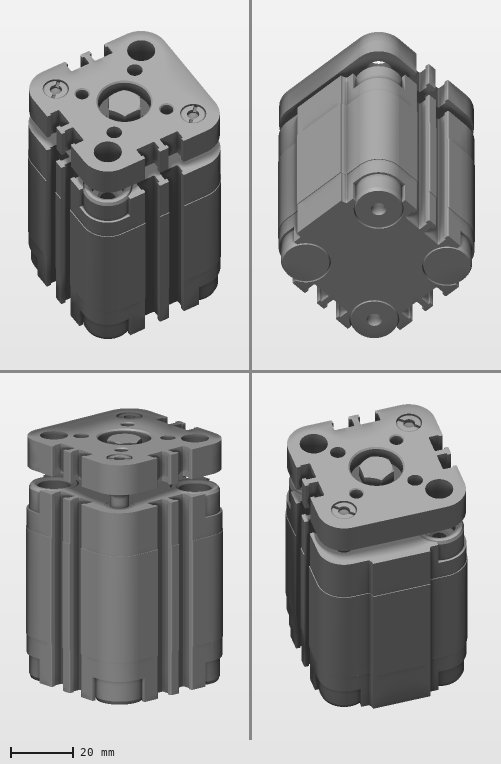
import cadquery as cq
import math

housing_height = 64.5
barrel_bottom = 14.5
barrel_top = 50.0
stroke_gap = 6.0
plate_thickness = 10.0
plate_bottom = housing_height + stroke_gap
plate_top = plate_bottom + plate_thickness

barrel_half = 25.0
cap_half = 24.75
plate_half = 24.6
corner_offset = 16.0
plate_corner_radius = 8.75

slot_floor = 19.9
lip_inner = 23.2
slot_inner_edge = 1.0
slot_outer_edge = 7.75
neck_inner_edge = 1.75
neck_outer_edge = 7.15
slot_rounding = 0.4

rail_height = 2.0
rail_top_half = 9.65
rail_flank_half = 10.1
rail_root_half = 10.4
rail_flank_top = 1.45
rail_flank_bottom = 0.3
rail_embed = 1.0

boss_radius = 8.0
boss_pocket_height = 8.0
boss_pocket_edge = 12.9
cut_margin = 1.0
bottom_chamfer_width = 0.5
bottom_chamfer_height = 1.2
top_chamfer_width = 0.6
top_chamfer_height = 1.0

screw_hole_diameter = 4.92
screw_cone_diameter = 6.6
screw_recess_diameter = 10.5
screw_recess_mouth = 12.6
screw_mouth_depth = 0.7
screw_recess_depth = 5.0

guide_diameter = 6.0
guide_ring_diameter = 9.6
guide_ring_depth = 0.1
piston_rod_diameter = 12.0
rod_end = barrel_top
flat_across = 10.0
flat_start = 1.1
flat_bottom = housing_height + flat_start
collar_diameter = 8.0
collar_height = 0.5

access_hole_diameter = 9.0
thread_offset = 9.85
pin_hole_diameter = 5.0
thread_diameter = 4.13
thread_chamfer = 0.4
center_hole_diameter = 17.0
center_chamfer = 0.5
center_hole_depth = 5.7
washer_height = 0.5
hex_sides = 6
hex_across = 10.0
hex_recess = 0.5
hex_top = plate_top - hex_recess
hex_top_diameter = 10.1
hex_chamfer_angle = 30.0
guide_end_diameter = 8.4
guide_end_recess = 0.3
guide_end_chamfer = 0.5
driver_hole_diameter = 3.9
driver_hole_chamfer = 0.4
driver_depth = 1.0
driver_slot_width = 1.2
driver_slot_angle = -45.0

all_corners = [(sx * corner_offset, sy * corner_offset) for sx in (-1, 1) for sy in (-1, 1)]
guide_corners = [(-corner_offset, -corner_offset), (corner_offset, corner_offset)]
screw_corners = [(-corner_offset, corner_offset), (corner_offset, -corner_offset)]


def cylinder(center, diameter, bottom, top):
    return cq.Workplane("XY", origin=(*center, bottom)).circle(diameter / 2).extrude(top - bottom)


def cone(center, bottom_radius, top_radius, bottom, top):
    profile = [(0, bottom), (bottom_radius, bottom), (top_radius, top), (0, top)]
    solid = cq.Workplane("XZ").polyline(profile).close().revolve(360, (0, 0), (0, 1))
    return solid.translate((*center, 0))


def box(x_range, y_range, z_range):
    size = [high - low for low, high in (x_range, y_range, z_range)]
    corner = (x_range[0], y_range[0], z_range[0])
    return cq.Workplane("XY").box(*size, centered=False).translate(corner)


def t_slot(side, face):
    """Outline of one T-slot opening toward -Y at y = -face, on the given side of the centre web."""
    r = slot_rounding
    mid = r * (1 - math.sqrt(0.5))
    return (
        cq.Workplane("XY")
        .moveTo(side * (neck_inner_edge - r), -face)
        .threePointArc((side * (neck_inner_edge - mid), -face + mid), (side * neck_inner_edge, -face + r))
        .lineTo(side * neck_inner_edge, -lip_inner)
        .lineTo(side * slot_inner_edge, -lip_inner)
        .lineTo(side * slot_inner_edge, -slot_floor - r)
        .threePointArc(
            (side * (slot_inner_edge + mid), -slot_floor - mid),
            (side * (slot_inner_edge + r), -slot_floor),
        )
        .lineTo(side * (slot_outer_edge - r), -slot_floor)
        .threePointArc(
            (side * (slot_outer_edge - mid), -slot_floor - mid),
            (side * slot_outer_edge, -slot_floor - r),
        )
        .lineTo(side * slot_outer_edge, -lip_inner)
        .lineTo(side * neck_outer_edge, -lip_inner)
        .lineTo(side * neck_outer_edge, -face + r)
        .threePointArc((side * (neck_outer_edge + mid), -face + mid), (side * (neck_outer_edge + r), -face))
        .close()
    )


def slotted_square(half, corner_radius, bottom, top):
    """Rounded square with twin T-slots in the left, front and right faces."""
    height = top - bottom
    body = cq.Workplane("XY").rect(2 * half, 2 * half).extrude(height)
    body = body.edges("|Z").fillet(corner_radius)
    for angle in (-90, 0, 90):
        for side in (-1, 1):
            slot = t_slot(side, half).extrude(height)
            body = body.cut(slot.rotate((0, 0, 0), (0, 0, 1), angle))
    return body.translate((0, 0, bottom))


def back_rail(half, bottom, top):
    """Rail on the back face, with flanks that flare toward its root."""
    right_side = [
        (rail_top_half, half + rail_height),
        (rail_top_half, half + rail_flank_top),
        (rail_flank_half, half + rail_flank_bottom),
        (rail_root_half, half),
        (rail_root_half, half - rail_embed),
    ]
    left_side = [(-x, y) for x, y in reversed(right_side)]
    outline = cq.Workplane("XY", origin=(0, 0, bottom)).polyline(right_side + left_side).close()
    return outline.extrude(top - bottom)


def section(half, bottom, top):
    return slotted_square(half, half - corner_offset, bottom, top).union(back_rail(half, bottom, top))


def corner_pocket(center, bottom, top):
    """Square corner region outside the round boss."""
    ranges = []
    for coordinate in center:
        sign = math.copysign(1, coordinate)
        ranges.append(sorted((sign * boss_pocket_edge, sign * (barrel_half + cut_margin))))
    return box(*ranges, (bottom, top)).cut(cylinder(center, 2 * boss_radius, bottom, top))


def edge_ring(center, radius, tip_radius, base_z, tip_z):
    """Cutting tool that tapers a round end from its full radius at base_z to tip_radius at tip_z."""
    bottom, top = sorted((base_z, tip_z))
    radii = (radius, tip_radius) if base_z < tip_z else (tip_radius, radius)
    return cylinder(center, 2 * radius, bottom, top).cut(cone(center, *radii, bottom, top))


def make_housing():
    """Barrel between two end caps, with corner bosses, screw holes and rod bores."""
    body = section(cap_half, 0, barrel_bottom)
    body = body.union(section(barrel_half, barrel_bottom, barrel_top))
    body = body.union(section(cap_half, barrel_top, housing_height))
    bottom_tip_radius = boss_radius - bottom_chamfer_width
    for center in all_corners:
        body = body.cut(corner_pocket(center, 0, boss_pocket_height))
        body = body.cut(edge_ring(center, boss_radius, bottom_tip_radius, bottom_chamfer_height, 0))
    top_tip_radius = boss_radius - top_chamfer_width
    chamfer_base = housing_height - top_chamfer_height
    recess_floor = housing_height - screw_recess_depth
    mouth_floor = housing_height - screw_mouth_depth
    recess_radius = screw_recess_diameter / 2
    cone_depth = (screw_cone_diameter - screw_hole_diameter) / 2
    for center in screw_corners:
        body = body.cut(corner_pocket(center, housing_height - boss_pocket_height, housing_height))
        body = body.cut(edge_ring(center, boss_radius, top_tip_radius, chamfer_base, housing_height))
        body = body.cut(cone(center, recess_radius, screw_recess_mouth / 2, mouth_floor, housing_height))
        body = body.cut(cylinder(center, screw_recess_diameter, recess_floor, housing_height))
        radii = (screw_hole_diameter / 2, screw_cone_diameter / 2)
        body = body.cut(cone(center, *radii, recess_floor - cone_depth, recess_floor))
        body = body.cut(cylinder(center, screw_hole_diameter, 0, housing_height))
    ring_floor = housing_height - guide_ring_depth
    for center in guide_corners:
        body = body.cut(cylinder(center, guide_diameter, rod_end, housing_height))
        body = body.cut(cylinder(center, guide_ring_diameter, ring_floor, housing_height))
    return body.cut(cylinder((0, 0), piston_rod_diameter, rod_end, housing_height))


def make_hex_head(bottom):
    """Hexagon head with two flats facing +X and -X and a conical chamfer on its top edge."""
    half_flat_angle = 180 / hex_sides
    corner_diameter = hex_across / math.cos(math.radians(half_flat_angle))
    height = hex_top - bottom
    head = cq.Workplane("XY", origin=(0, 0, bottom)).polygon(hex_sides, corner_diameter).extrude(height)
    head = head.rotate((0, 0, 0), (0, 0, 1), half_flat_angle)
    top_radius = hex_top_diameter / 2
    bottom_radius = top_radius + height / math.tan(math.radians(hex_chamfer_angle))
    return head.intersect(cone((0, 0), bottom_radius, top_radius, bottom, hex_top))


def make_plate():
    """Front plate with its holes and the hexagon head in the centre counterbore."""
    plate = slotted_square(plate_half, plate_corner_radius, plate_bottom, plate_top)
    for center in screw_corners:
        plate = plate.cut(cylinder(center, access_hole_diameter, plate_bottom, plate_top))
    thread_radius = thread_diameter / 2
    mouth_radius = thread_radius + thread_chamfer
    mouth_floor = plate_top - thread_chamfer
    for sx in (-1, 1):
        for sy in (-1, 1):
            center = (sx * thread_offset, sy * thread_offset)
            if sx == sy:
                plate = plate.cut(cylinder(center, thread_diameter, plate_bottom, plate_top))
                plate = plate.cut(cone(center, thread_radius, mouth_radius, mouth_floor, plate_top))
            else:
                plate = plate.cut(cylinder(center, pin_hole_diameter, plate_bottom, plate_top))
    floor = plate_top - center_hole_depth
    radius = center_hole_diameter / 2
    plate = plate.cut(cylinder((0, 0), center_hole_diameter, floor, plate_top))
    plate = plate.cut(cone((0, 0), radius, radius + center_chamfer, plate_top - center_chamfer, plate_top))
    plate = plate.union(cylinder((0, 0), piston_rod_diameter, floor, floor + washer_height))
    return plate.union(make_hex_head(floor))


def driver_recess(center):
    """Recessed, chamfered and slotted upper end of a guide rod in the plate, as a cutting tool."""
    radius = guide_end_diameter / 2
    hole_radius = driver_hole_diameter / 2
    end_top = plate_top - guide_end_recess
    floor = end_top - driver_depth
    slot = cq.Workplane("XY", origin=(0, 0, floor)).rect(guide_end_diameter, driver_slot_width)
    slot = slot.extrude(driver_depth).rotate((0, 0, 0), (0, 0, 1), driver_slot_angle).translate((*center, 0))
    slot = slot.intersect(cylinder(center, guide_end_diameter, floor, end_top))
    seat = cylinder(center, guide_end_diameter, end_top, plate_top)
    hole = cylinder(center, driver_hole_diameter, floor, end_top)
    groove_bottom = floor - driver_hole_chamfer
    groove = edge_ring(center, hole_radius, hole_radius - driver_hole_chamfer, groove_bottom, floor)
    rim = edge_ring(center, radius, radius - guide_end_chamfer, end_top - guide_end_chamfer, end_top)
    return slot.union(seat).union(hole).union(groove).union(rim)


def make_moving_unit():
    """Front plate with the piston rod and both guide rods, as one solid."""
    unit = make_plate()
    rod = cylinder((0, 0), piston_rod_diameter, rod_end, plate_bottom)
    rod_radius = piston_rod_diameter / 2
    for side in (-1, 1):
        y_range = sorted((side * flat_across / 2, side * rod_radius))
        rod = rod.cut(box((-rod_radius, rod_radius), y_range, (flat_bottom, plate_bottom)))
    unit = unit.union(rod)
    for center in guide_corners:
        unit = unit.union(cylinder(center, guide_diameter, rod_end, plate_bottom))
        unit = unit.union(cylinder(center, collar_diameter, plate_bottom - collar_height, plate_bottom))
        unit = unit.cut(driver_recess(center))
    return unit


housing = make_housing()
moving_unit = make_moving_unit()

result = cq.Compound.makeCompound([housing.val(), moving_unit.val()])